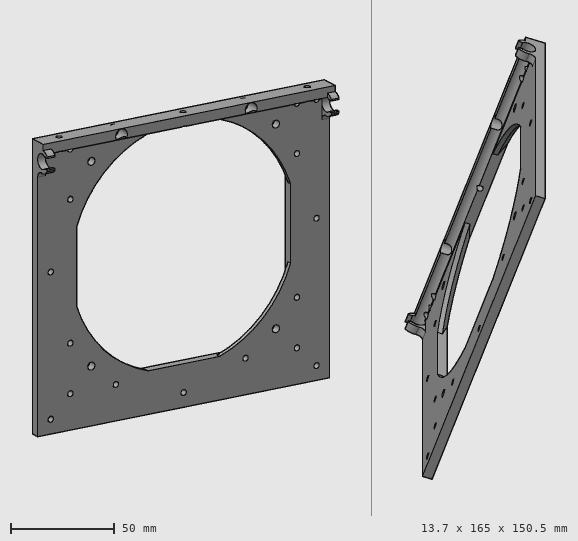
import cadquery as cq
import math

WIDTH = 165.0
HEIGHT = 150.5
DEPTH = 13.7
PLATE_THICKNESS = 5.0
TOP = 67.8
BOTTOM = TOP - HEIGHT

OPENING_SIDE = 120.8
BORE_FRONT_RADIUS = 66.7
BORE_BACK_RADIUS = 63.7
TAPER_DEPTH = 2.5

BEAM_THICKNESS = 10.0
BEAM_BOTTOM = OPENING_SIDE / 2

CLIP_WIDTH = 4.5
ROD_RADIUS = 4.0
CLIP_RADIUS = 6.1
CLIP_FILLET = 3.0
CLIP_MOUTH = 6.0
ROD_X = PLATE_THICKNESS + ROD_RADIUS
ROD_Z = TOP - 9.0

SCREW_DIAMETER = 3.0
FAN_SCREW_DIAMETER = 4.0
FAN_HOLE_OFFSET = 52.1
EDGE_HOLE_OFFSET = 75.0
SIDE_COLUMN_Y = 64.0
CORNER_HOLE_Z = 60.5
LOW_ROW_Z = -64.0
BEAM_HOLE_Z = 64.4
NEAR_OFFSET = 35.0
FAR_OFFSET = -38.3

HEAD_RADIUS = 3.3
HEAD_SEAT_X = 2.0

TOP_HOLE_DIAMETER = 3.0
TOP_HOLE_X = 4.5
TOP_HOLE_SPACING = 70.1


def block(x_size, y_min, y_max, z_min, z_max):
    """Box standing on the X = 0 face."""
    size = (x_size, y_max - y_min, z_max - z_min)
    return cq.Workplane("XY").box(*size, centered=False).translate((0, y_min, z_min))


def rod_along_x(radius, x_start, length, y, z):
    return cq.Workplane(cq.Solid.makeCylinder(radius, length, cq.Vector(x_start, y, z), cq.Vector(1, 0, 0)))


def rod_along_y(radius, length, x, z):
    """Cylinder along Y, centred on Y = 0."""
    start = cq.Vector(x, -length / 2, z)
    return cq.Workplane(cq.Solid.makeCylinder(radius, length, start, cq.Vector(0, 1, 0)))


def point_on_circle(centre, radius, angle):
    return (centre[0] + radius * math.cos(angle), centre[1] + radius * math.sin(angle))


def opening():
    half = OPENING_SIDE / 2
    square = block(PLATE_THICKNESS, -half, half, -half, half)
    bore = (
        cq.Workplane("XY")
        .polyline([
            (0, 0),
            (0, BORE_FRONT_RADIUS),
            (TAPER_DEPTH, BORE_BACK_RADIUS),
            (PLATE_THICKNESS, BORE_BACK_RADIUS),
            (PLATE_THICKNESS, 0),
        ])
        .close()
        .revolve(360, (0, 0, 0), (1, 0, 0))
    )
    return square.intersect(bore)


def clip(y_start):
    """Rod clip body: a round jaw blended into the plate below it and cut flat at full depth."""
    fillet_x = PLATE_THICKNESS + CLIP_FILLET
    reach = CLIP_RADIUS + CLIP_FILLET
    fillet_z = ROD_Z - math.sqrt(reach**2 - (ROD_X - fillet_x)**2)
    share = CLIP_RADIUS / reach
    touch = (ROD_X + share * (fillet_x - ROD_X), ROD_Z + share * (fillet_z - ROD_Z))

    touch_angle = math.atan2(touch[1] - fillet_z, touch[0] - fillet_x)
    middle_angle = (math.pi + touch_angle) / 2
    middle = point_on_circle((fillet_x, fillet_z), CLIP_FILLET, middle_angle)

    tip_rise = math.sqrt(CLIP_RADIUS**2 - (DEPTH - ROD_X)**2)
    beam_rise = math.sqrt(CLIP_RADIUS**2 - (BEAM_THICKNESS - ROD_X)**2)
    tip_angle = math.atan2(tip_rise, DEPTH - ROD_X)
    beam_angle = math.atan2(beam_rise, BEAM_THICKNESS - ROD_X)
    top_angle = (tip_angle + beam_angle) / 2
    top_middle = point_on_circle((ROD_X, ROD_Z), CLIP_RADIUS, top_angle)

    profile = (
        cq.Workplane("XZ", origin=(0, y_start + CLIP_WIDTH, 0))
        .moveTo(0, fillet_z)
        .lineTo(PLATE_THICKNESS, fillet_z)
        .threePointArc(middle, touch)
        .threePointArc((ROD_X, ROD_Z - CLIP_RADIUS), (DEPTH, ROD_Z - tip_rise))
        .lineTo(DEPTH, ROD_Z + tip_rise)
        .threePointArc(top_middle, (BEAM_THICKNESS, ROD_Z + beam_rise))
        .lineTo(BEAM_THICKNESS, TOP)
        .lineTo(0, TOP)
        .close()
    )
    return profile.extrude(CLIP_WIDTH)


def rod_channel():
    """Round seat with a narrower mouth opening towards +X, along the whole width."""
    seat = rod_along_y(ROD_RADIUS, WIDTH, ROD_X, ROD_Z)
    half_mouth = CLIP_MOUTH / 2
    mouth = block(DEPTH - ROD_X, -WIDTH / 2, WIDTH / 2, ROD_Z - half_mouth, ROD_Z + half_mouth)
    return seat.union(mouth.translate((ROD_X, 0, 0)))


def screw_positions():
    """(Y, Z) of every small screw hole through the plate."""
    side_rows = (CORNER_HOLE_Z, NEAR_OFFSET, FAR_OFFSET, LOW_ROW_Z)
    edge_rows = (CORNER_HOLE_Z, 0, -EDGE_HOLE_OFFSET)
    positions = [(0, -EDGE_HOLE_OFFSET)]
    for side in (-1, 1):
        positions += [(side * SIDE_COLUMN_Y, z) for z in side_rows]
        positions += [(side * EDGE_HOLE_OFFSET, z) for z in edge_rows]
    for y in (NEAR_OFFSET, FAR_OFFSET):
        positions += [(y, BEAM_HOLE_Z), (y, LOW_ROW_Z)]
    return positions


half_width = WIDTH / 2
body = block(PLATE_THICKNESS, -half_width, half_width, BOTTOM, TOP)
body = body.union(block(BEAM_THICKNESS, -half_width, half_width, BEAM_BOTTOM, TOP))
for clip_start in (-half_width, half_width - CLIP_WIDTH):
    body = body.union(clip(clip_start))
body = body.cut(opening()).cut(rod_channel())

for y, z in screw_positions():
    body = body.cut(rod_along_x(SCREW_DIAMETER / 2, 0, DEPTH, y, z))
for y in (-FAN_HOLE_OFFSET, FAN_HOLE_OFFSET):
    for z in (-FAN_HOLE_OFFSET, FAN_HOLE_OFFSET):
        body = body.cut(rod_along_x(FAN_SCREW_DIAMETER / 2, 0, DEPTH, y, z))
for y in (NEAR_OFFSET, FAR_OFFSET):
    body = body.cut(rod_along_x(HEAD_RADIUS, HEAD_SEAT_X, DEPTH, y, BEAM_HOLE_Z))

for y in (-TOP_HOLE_SPACING, 0, TOP_HOLE_SPACING):
    drill = cq.Solid.makeCylinder(
        TOP_HOLE_DIAMETER / 2, TOP - BEAM_BOTTOM, cq.Vector(TOP_HOLE_X, y, BEAM_BOTTOM)
    )
    body = body.cut(cq.Workplane(drill))

result = body